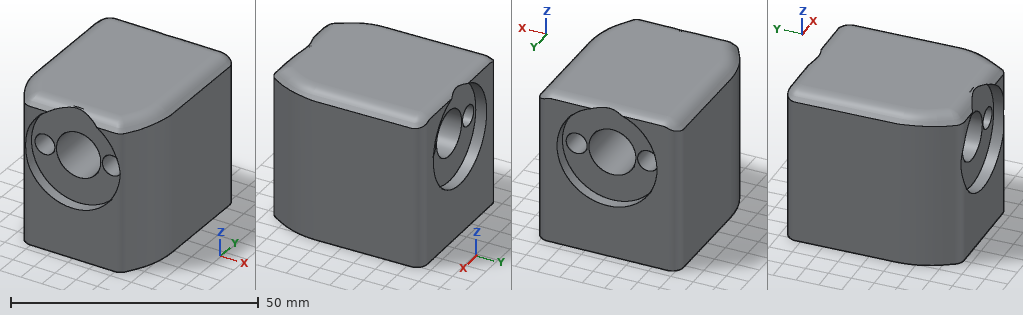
import cadquery as cq
import math

WIDTH = 32.0
LENGTH = 37.0
HEIGHT = 34.67

FRONT_CORNER_X = 11.4
TAPER_LENGTH = 7.5
SHOULDER_RADIUS = 17.95
CORNER_RADIUS = 2.5

RIM_CHAMFER = 2.0
RIM_RADIUS = 4.0
RIM_INSET = RIM_CHAMFER + RIM_RADIUS * math.tan(math.radians(22.5))
BACK_OVERHANG = RIM_INSET - CORNER_RADIUS
STOCK_CORNER_RADIUS = RIM_INSET + 0.05
STOCK_SHOULDER_RADIUS = 14.05

BASE_CHAMFER = 0.25

BORE_Z = 23.12
MAIN_BORE_DIAMETER = 10.5
SIDE_BORE_DIAMETER = 4.7
SIDE_BORE_OFFSET = 8.0
RECESS_DIAMETER = 22.4
RECESS_DEPTH = 2.5


def make_block(back_y, back_radius, shoulder_radius):
    """Block with a tapered nose and rounded vertical edges."""
    half = WIDTH / 2
    margin = 0.37
    outline = [
        (-FRONT_CORNER_X, 0),
        (FRONT_CORNER_X, 0),
        (half, TAPER_LENGTH),
        (half, back_y),
        (-half, back_y),
        (-half, TAPER_LENGTH),
    ]
    block = cq.Workplane("XY").polyline(outline).close().extrude(HEIGHT)
    shoulder_zone = cq.selectors.BoxSelector(
        (-WIDTH, TAPER_LENGTH - margin, 0), (WIDTH, TAPER_LENGTH + margin, HEIGHT)
    )
    block = block.edges(shoulder_zone).edges("|Z").fillet(shoulder_radius)
    block = block.faces("<Y").edges("|Z").fillet(CORNER_RADIUS)
    return block.faces(">Y").edges("|Z").fillet(back_radius)


def bore(x, diameter, start_y, depth):
    """Cylinder along +y from start_y."""
    axis_point = cq.Vector(x, start_y, BORE_Z)
    return cq.Workplane(cq.Solid.makeCylinder(diameter / 2, depth, axis_point, cq.Vector(0, 1, 0)))


rimmed_stock = make_block(LENGTH + BACK_OVERHANG, STOCK_CORNER_RADIUS, STOCK_SHOULDER_RADIUS)
rimmed_stock = rimmed_stock.faces(">Z").edges().chamfer(RIM_CHAMFER)
rimmed_stock = rimmed_stock.faces(">Z").edges().fillet(RIM_RADIUS)

body = make_block(LENGTH, CORNER_RADIUS, SHOULDER_RADIUS)
body = body.faces("<Z").edges().chamfer(BASE_CHAMFER)
body = body.intersect(rimmed_stock)

for recess_y in (0, LENGTH - RECESS_DEPTH):
    body = body.cut(bore(0, RECESS_DIAMETER, recess_y, RECESS_DEPTH))

body = body.cut(bore(0, MAIN_BORE_DIAMETER, 0, LENGTH))
for side in (-1, 1):
    body = body.cut(bore(side * SIDE_BORE_OFFSET, SIDE_BORE_DIAMETER, 0, LENGTH))

result = body